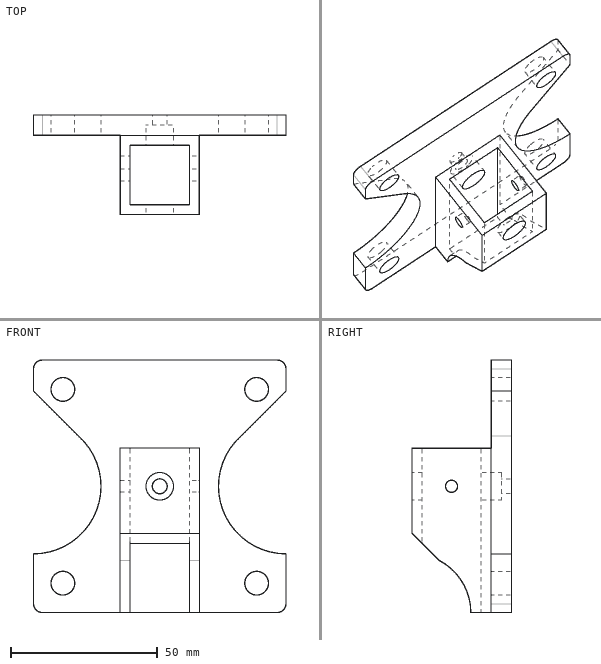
import cadquery as cq
import math

plate_size = 86.0
plate_thickness = 7.0
corner_radius = 3.0
half_plate = plate_size / 2
mount_hole_spacing = 66.0
mount_hole_diameter = 8.0
scallop_radius = 23.0
flare_height = 32.4

socket_size = 27.0
socket_opening = 20.2
socket_top = 13.0
relief_radius = 20.0

screw_hole_diameter = 5.0
screw_head_diameter = 9.4
screw_head_depth = 7.0
cross_pin_diameter = 4.0

socket_front = -(plate_thickness + socket_size)
socket_center = -(plate_thickness + socket_size / 2)
socket_wall = (socket_size - socket_opening) / 2
back_wall_face = -(plate_thickness + socket_wall)
recess_floor = back_wall_face + screw_head_depth


def cylinder_along_y(diameter, y_start, y_end):
    """Cylinder on the Y axis, running from y_start towards -Y down to y_end."""
    return (
        cq.Workplane("XZ", origin=(0, y_start, 0))
        .circle(diameter / 2)
        .extrude(y_start - y_end)
    )


def edge_scallop(side):
    """Quarter-round cut-out opening into a 45 degree flare, on the side edge given by its sign."""
    half_chord = math.sqrt(scallop_radius**2 / 2 - (flare_height / 2) ** 2)
    meet_inset = flare_height / 2 - half_chord
    meet_height = flare_height / 2 + half_chord
    edge = side * half_plate
    return (
        cq.Workplane("XZ")
        .moveTo(edge, -scallop_radius)
        .threePointArc(
            (edge - side * scallop_radius, 0),
            (edge - side * meet_inset, meet_height),
        )
        .lineTo(edge, flare_height)
        .close()
        .extrude(plate_thickness)
    )


def make_plate():
    plate = (
        cq.Workplane("XZ")
        .rect(plate_size, plate_size)
        .extrude(plate_thickness)
        .edges("|Y")
        .fillet(corner_radius)
    )
    mount_holes = (
        cq.Workplane("XZ")
        .rect(mount_hole_spacing, mount_hole_spacing, forConstruction=True)
        .vertices()
        .circle(mount_hole_diameter / 2)
        .extrude(plate_thickness)
    )
    plate = plate.cut(mount_holes)
    for side in (-1, 1):
        plate = plate.cut(edge_scallop(side))
    return plate


def make_socket():
    """Socket body: a 45 degree underside runs into a round relief centred on the lower front corner."""
    half_chord = math.sqrt(relief_radius**2 / 2 - (socket_size / 2) ** 2)
    slope_run = socket_size / 2 - half_chord
    slope_rise = socket_size - slope_run
    slope_end_angle = math.atan2(slope_rise, slope_run)
    arc_mid_angle = slope_end_angle / 2
    body = (
        cq.Workplane("YZ", origin=(-socket_size / 2, 0, 0))
        .moveTo(-plate_thickness, socket_top)
        .lineTo(socket_front, socket_top)
        .lineTo(socket_front, socket_size - half_plate)
        .lineTo(socket_front + slope_run, slope_rise - half_plate)
        .threePointArc(
            (
                socket_front + relief_radius * math.cos(arc_mid_angle),
                relief_radius * math.sin(arc_mid_angle) - half_plate,
            ),
            (socket_front + relief_radius, -half_plate),
        )
        .lineTo(-plate_thickness, -half_plate)
        .close()
        .extrude(socket_size)
    )
    opening = (
        cq.Workplane("XY", origin=(0, socket_center, -half_plate))
        .rect(socket_opening, socket_opening)
        .extrude(half_plate + socket_top)
    )
    return body.cut(opening)


result = make_plate().union(make_socket())

result = result.cut(cylinder_along_y(screw_hole_diameter, 0, recess_floor))
result = result.cut(cylinder_along_y(screw_head_diameter, recess_floor, socket_front))

cross_pin = (
    cq.Workplane("YZ", origin=(-socket_size / 2, socket_center, 0))
    .circle(cross_pin_diameter / 2)
    .extrude(socket_size)
)
result = result.cut(cross_pin)